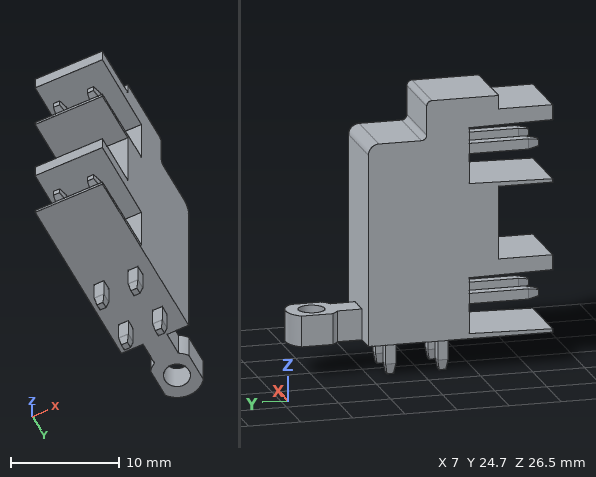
import cadquery as cq


HOUSING_WIDTH = 7.0
HOUSING_HEIGHT = 23.3
SHOULDER_HEIGHT = 19.5
STEP_DEPTH = 5.6
FRONT_DEPTH = 12.5
SHELF_DEPTH = 17.7
REAR_EDGE_RADIUS = 1.0
STEP_RADIUS = 0.5

ROW_PITCH = 14.5
ROW_BASES = [0, ROW_PITCH]
SOCKET_DEPTH = 9.7
LOWER_SHELF_ROOT = 0.5
SOCKET_ROOT_TOP = 5.88
SHELF_DRAFT = 0.15
UPPER_SHELF_TOP = 7.5

LUG_HEIGHT = 3.0
LUG_RADIUS = 2.5
LUG_WIDTH = 3.98
NECK_WIDTH = 2.5
SCREW_HOLE_DIAMETER = 2.5
LUG_LENGTH = 7.0
LUG_CENTRE_Y = LUG_LENGTH - LUG_RADIUS

PIN_SIZE = 1.0
PIN_TIP_SIZE = 0.64
PIN_TIP_LENGTH = 1.0
PIN_COLUMN_PITCH = 3.52
PIN_COLUMNS = [-PIN_COLUMN_PITCH / 2, PIN_COLUMN_PITCH / 2]
PIN_HEIGHT_IN_ROW = 3.5
CONTACT_DEPTH = 16.72
TAIL_LENGTH = 3.2
REAR_TAIL_DEPTH = 2.5
TAIL_PITCH = 5.0
TAIL_DEPTHS = [REAR_TAIL_DEPTH + TAIL_PITCH, REAR_TAIL_DEPTH]


def make_block():
    """Stepped side profile of the housing, without sockets, with rounded rear and step edges."""
    upper_shelf = ROW_PITCH + UPPER_SHELF_TOP
    outline = [
        (0, 0),
        (0, SHOULDER_HEIGHT),
        (-STEP_DEPTH, SHOULDER_HEIGHT),
        (-STEP_DEPTH, HOUSING_HEIGHT),
        (-FRONT_DEPTH, HOUSING_HEIGHT),
        (-FRONT_DEPTH, upper_shelf),
        (-SHELF_DEPTH, upper_shelf),
        (-SHELF_DEPTH, ROW_PITCH),
        (-FRONT_DEPTH, ROW_PITCH),
        (-FRONT_DEPTH, UPPER_SHELF_TOP),
        (-SHELF_DEPTH, UPPER_SHELF_TOP),
        (-SHELF_DEPTH, 0),
    ]
    block = cq.Workplane("YZ").polyline(outline).close().extrude(HOUSING_WIDTH / 2, both=True)
    block = block.edges(cq.NearestToPointSelector((0, 0, SHOULDER_HEIGHT))).fillet(REAR_EDGE_RADIUS)
    for height in (SHOULDER_HEIGHT, HOUSING_HEIGHT):
        step_edge = cq.NearestToPointSelector((0, -STEP_DEPTH, height))
        block = block.edges(step_edge).fillet(STEP_RADIUS)
    return block


def make_socket(base):
    """Drafted opening of one row, open at the front and at both sides."""
    bottom = base + LOWER_SHELF_ROOT
    top = base + SOCKET_ROOT_TOP
    outline = [
        (-SOCKET_DEPTH, bottom),
        (-SOCKET_DEPTH, top),
        (-SHELF_DEPTH, top + SHELF_DRAFT),
        (-SHELF_DEPTH, bottom - SHELF_DRAFT),
    ]
    return cq.Workplane("YZ").polyline(outline).close().extrude(HOUSING_WIDTH / 2, both=True)


def make_lug():
    """Neck and flat-sided round eye behind the housing, with a through hole."""
    eye_plane = cq.Workplane("XY").center(0, LUG_CENTRE_Y)
    eye = eye_plane.circle(LUG_RADIUS).extrude(LUG_HEIGHT)
    flats = eye_plane.rect(LUG_WIDTH, 2 * LUG_RADIUS).extrude(LUG_HEIGHT)
    neck = cq.Workplane("XY").center(0, LUG_CENTRE_Y / 2).rect(NECK_WIDTH, LUG_CENTRE_Y).extrude(LUG_HEIGHT)
    hole = eye_plane.circle(SCREW_HOLE_DIAMETER / 2).extrude(LUG_HEIGHT)
    return eye.intersect(flats).union(neck).cut(hole)


def make_leg(plane, length):
    """Square bar along the plane normal, ending in a tapered tip."""
    shank_length = length - PIN_TIP_LENGTH
    shank = cq.Workplane(plane).rect(PIN_SIZE, PIN_SIZE).extrude(shank_length)
    tip = (
        shank.faces(cq.DirectionMinMaxSelector(plane.zDir, True))
        .workplane()
        .rect(PIN_SIZE, PIN_SIZE)
        .workplane(offset=PIN_TIP_LENGTH)
        .rect(PIN_TIP_SIZE, PIN_TIP_SIZE)
        .loft(combine=False)
    )
    return shank.union(tip)


def make_pin(x, height, tail_depth):
    """Right-angle pin: a contact pointing to -Y and a tail pointing down, meeting in a square corner."""
    half = PIN_SIZE / 2
    contact_plane = cq.Plane((x, half - tail_depth, height), xDir=(1, 0, 0), normal=(0, -1, 0))
    tail_plane = cq.Plane((x, -tail_depth, height + half), xDir=(1, 0, 0), normal=(0, 0, -1))
    contact = make_leg(contact_plane, CONTACT_DEPTH - tail_depth + half)
    tail = make_leg(tail_plane, height + half + TAIL_LENGTH)
    return contact.union(tail)


pins = []
for row_base, tail_depth in zip(ROW_BASES, TAIL_DEPTHS):
    for column_x in PIN_COLUMNS:
        pins.append(make_pin(column_x, row_base + PIN_HEIGHT_IN_ROW, tail_depth))

housing = make_block().union(make_lug())
for row_base in ROW_BASES:
    housing = housing.cut(make_socket(row_base))
for pin in pins:
    housing = housing.cut(pin)

result = cq.Compound.makeCompound([housing.solids().val(), *[pin.solids().val() for pin in pins]])